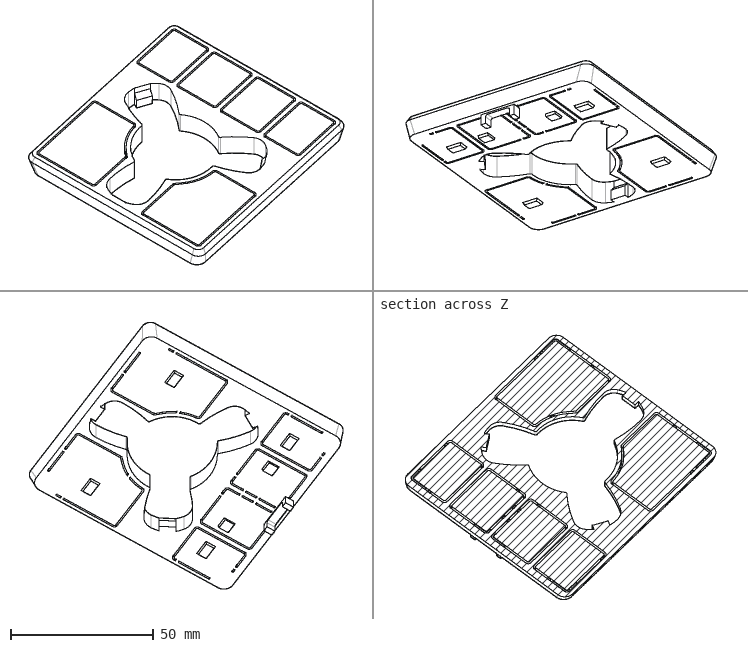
import cadquery as cq
import math

WIDTH = 78.78
LENGTH = 83.65
PLATE_HEIGHT = 8.4
CHAMFER_HEIGHT = 2.0
RIM_HEIGHT = PLATE_HEIGHT - CHAMFER_HEIGHT
TOP_INSET = 1.2
BOTTOM_SIDE_INSET = 1.4
BOTTOM_FRONT_INSET = 1.1
BOTTOM_RADIUS = 3.8
RIM_RADIUS = 3.3
TOP_RADIUS = 2.4

HUB_Y = -5.9
HUB_RADIUS = 15.9
ARM_COUNT = 3
NECK_HALF_WIDTH = 6.9
NECK_FILLET = 0.6
ARM_SIDE_MIDDLE = (8.0, -19.2)
ARM_SHOULDER = (8.6, -26.5)
ARM_CORNER_END = (5.8, -31.0)
ARM_END = 32.1

LEDGE_WIDTH = 6.0
LEDGE_DEPTH = 1.85
LEDGE_FRONT_HEIGHT = 3.9
LEDGE_BACK_HEIGHT = 5.8

SLOT_WIDTH = 0.6
KEY_RADIUS = 1.2
KEYS_HALF_SPAN = 36.7
KEYS_END_Y = 39.0
KEY_WALL = 1.7
BACK_KEY_LENGTH = 21.5
OUTER_KEY_WIDTH = 16.3
INNER_KEY_OUTER_X = KEYS_HALF_SPAN - OUTER_KEY_WIDTH - KEY_WALL
INNER_KEY_INNER_X = KEY_WALL / 2
BACK_KEY_FRONT_Y = KEYS_END_Y - BACK_KEY_LENGTH
FRONT_KEY_INNER_X = 10.4
FRONT_KEY_ARC_RADIUS = 17.5

BRIDGE_WIDTH = 1.2
BRIDGE_HEIGHT = 2.0
MID_SLOT = SLOT_WIDTH / 2
ARC_BRIDGE_ANGLE = math.radians(206)
ARC_BRIDGE_RADIUS = FRONT_KEY_ARC_RADIUS + MID_SLOT
LEFT_BRIDGE_CENTRES = [
    (MID_SLOT - KEYS_HALF_SPAN, 19.9),
    (-27.9, KEYS_END_Y - MID_SLOT),
    (-INNER_KEY_INNER_X - MID_SLOT, 29.4),
    (-INNER_KEY_INNER_X - MID_SLOT, 23.8),
    (-4.8, BACK_KEY_FRONT_Y + MID_SLOT),
    (MID_SLOT - KEYS_HALF_SPAN, -28.4),
    (-19.2, MID_SLOT - KEYS_END_Y),
    (
        ARC_BRIDGE_RADIUS * math.cos(ARC_BRIDGE_ANGLE),
        HUB_Y + ARC_BRIDGE_RADIUS * math.sin(ARC_BRIDGE_ANGLE),
    ),
]
LEFT_CORNER_BRIDGES = [
    ((-KEYS_HALF_SPAN, KEYS_END_Y), (7.0, -5.5)),
    ((-INNER_KEY_INNER_X, KEYS_END_Y), (-6.2, -2.5)),
    ((-KEYS_HALF_SPAN, -KEYS_END_Y), (7.1, 8.1)),
]

PAD_HEIGHT = 0.9
PAD_TAPER = 0.4
OUTER_PAD_SIZE = (6.0, 4.0)
INNER_PAD_SIZE = (4.0, 4.6)
OUTER_PAD_X = -27.0
INNER_PAD_X = -14.2
BACK_OUTER_PAD_Y = 25.9
BACK_INNER_PAD_Y = 26.2
FRONT_PAD_Y = -22.6

BRACKET_WIDTH = 14.0
BRACKET_DEPTH = 3.4
BRACKET_HEIGHT = 4.0
BRACKET_LEG = 2.0
BRACKET_WEB = 0.6
BRACKET_FILLET = 0.8
BRACKET_BACK_GAP = 1.3


def rounded_section(height, side_inset, front_inset, back_inset, radius):
    """Horizontal rounded-rectangle sketch, inset from the rim size."""
    length = LENGTH - front_inset - back_inset
    centre = cq.Vector(0, (front_inset - back_inset) / 2, height)
    sketch = cq.Sketch().rect(WIDTH - 2 * side_inset, length).vertices().fillet(radius)
    return sketch.moved(cq.Location(centre))


def plate():
    bottom = rounded_section(0, BOTTOM_SIDE_INSET, BOTTOM_FRONT_INSET, 0, BOTTOM_RADIUS)
    rim = rounded_section(RIM_HEIGHT, 0, 0, 0, RIM_RADIUS)
    top = rounded_section(PLATE_HEIGHT, TOP_INSET, TOP_INSET, TOP_INSET, TOP_RADIUS)
    skirt = cq.Workplane().placeSketch(bottom, rim).loft(ruled=True)
    chamfer = cq.Workplane().placeSketch(rim, top).loft(ruled=True)
    return skirt.union(chamfer)


def arm():
    """Arm of the opening, pointing to -Y from the hub axis."""
    neck_y = -math.sqrt(HUB_RADIUS**2 - NECK_HALF_WIDTH**2)
    half = (
        cq.Workplane()
        .lineTo(NECK_HALF_WIDTH, neck_y)
        .threePointArc(ARM_SIDE_MIDDLE, ARM_SHOULDER)
        .tangentArcPoint(ARM_CORNER_END, relative=False)
        .tangentArcPoint((LEDGE_WIDTH / 2, -ARM_END), relative=False)
        .lineTo(0, -ARM_END)
        .close()
        .extrude(PLATE_HEIGHT)
    )
    return half.union(half.mirror("YZ"))


def ledge():
    """Ledge on the end wall of the arm that points to -Y."""
    front = LEDGE_DEPTH - ARM_END
    back = -ARM_END
    profile = [(back, 0), (front, 0), (front, LEDGE_FRONT_HEIGHT), (back, LEDGE_BACK_HEIGHT)]
    return cq.Workplane("YZ").polyline(profile).close().extrude(LEDGE_WIDTH / 2, both=True)


def around_hub(shape):
    """Union of copies of a shape turned about the hub axis, moved to the hub position."""
    copies = shape
    for index in range(1, ARM_COUNT):
        copies = copies.union(shape.rotate((0, 0, 0), (0, 0, 1), index * 360 / ARM_COUNT))
    return copies.translate((0, HUB_Y, 0))


def opening():
    hub = cq.Workplane().center(0, HUB_Y).circle(HUB_RADIUS).extrude(PLATE_HEIGHT)
    neck_reach = HUB_RADIUS + NECK_FILLET
    neck_zone = cq.selectors.BoxSelector(
        (-neck_reach, HUB_Y - neck_reach, 0), (neck_reach, HUB_Y + neck_reach, PLATE_HEIGHT)
    )
    cutter = hub.union(around_hub(arm()))
    neck_edges = cutter.edges("|Z").edges(neck_zone)
    return neck_edges.fillet(NECK_FILLET).cut(around_hub(ledge()))


def back_key(outer_x, inner_x):
    return (
        cq.Workplane()
        .moveTo((outer_x + inner_x) / -2, KEYS_END_Y - BACK_KEY_LENGTH / 2)
        .rect(outer_x - inner_x, BACK_KEY_LENGTH)
        .extrude(PLATE_HEIGHT)
        .edges("|Z")
        .fillet(KEY_RADIUS)
    )


def front_key():
    """Left front key, hollowed along the hub and then running on at 45 degrees."""
    tangent_offset = FRONT_KEY_ARC_RADIUS * math.sqrt(0.5)
    middle_angle = math.radians(180 + 45 / 2)
    arc_middle = (
        FRONT_KEY_ARC_RADIUS * math.cos(middle_angle),
        HUB_Y + FRONT_KEY_ARC_RADIUS * math.sin(middle_angle),
    )
    slant_end_y = HUB_Y - 2 * tangent_offset + FRONT_KEY_INNER_X
    outline = (
        cq.Workplane()
        .moveTo(-KEYS_HALF_SPAN, -KEYS_END_Y)
        .lineTo(-KEYS_HALF_SPAN, HUB_Y)
        .lineTo(-FRONT_KEY_ARC_RADIUS, HUB_Y)
        .threePointArc(arc_middle, (-tangent_offset, HUB_Y - tangent_offset))
        .lineTo(-FRONT_KEY_INNER_X, slant_end_y)
        .lineTo(-FRONT_KEY_INNER_X, -KEYS_END_Y)
        .close()
        .extrude(PLATE_HEIGHT)
    )
    return outline.edges("|Z and (<X or >Y or <Y)").fillet(KEY_RADIUS)


def slot_around(key):
    """Through slot that runs just inside the outline of a key opening."""
    island = key.faces("<Z").wires().toPending().offset2D(-SLOT_WIDTH).extrude(PLATE_HEIGHT, combine=False)
    return key.cut(island)


def left_bridges():
    bridges = (
        cq.Workplane()
        .pushPoints(LEFT_BRIDGE_CENTRES)
        .rect(BRIDGE_WIDTH, BRIDGE_WIDTH)
        .extrude(BRIDGE_HEIGHT)
    )
    for corner, reach in LEFT_CORNER_BRIDGES:
        centre = (corner[0] + reach[0] / 2, corner[1] + reach[1] / 2)
        block = cq.Workplane().center(*centre).rect(abs(reach[0]), abs(reach[1])).extrude(BRIDGE_HEIGHT)
        bridges = bridges.union(block)
    return bridges


def key_slots():
    outer = slot_around(back_key(KEYS_HALF_SPAN, KEYS_HALF_SPAN - OUTER_KEY_WIDTH))
    inner = slot_around(back_key(INNER_KEY_OUTER_X, INNER_KEY_INNER_X))
    front = slot_around(front_key())
    left = outer.union(inner).union(front).cut(left_bridges())
    return left.union(left.mirror("YZ"))


def pad(x, y, size, side_taper):
    """Pad under a key, narrowing downwards along Y and, by side_taper, along X."""
    foot = (size[0] - 2 * side_taper, size[1] - 2 * PAD_TAPER)
    return (
        cq.Workplane()
        .center(x, y)
        .rect(*size)
        .workplane(offset=-PAD_HEIGHT)
        .rect(*foot)
        .loft(ruled=True)
    )


def pads():
    left = (
        pad(OUTER_PAD_X, BACK_OUTER_PAD_Y, OUTER_PAD_SIZE, PAD_TAPER)
        .union(pad(INNER_PAD_X, BACK_INNER_PAD_Y, INNER_PAD_SIZE, 0))
        .union(pad(OUTER_PAD_X, FRONT_PAD_Y, OUTER_PAD_SIZE, PAD_TAPER))
    )
    return left.union(left.mirror("YZ"))


def bracket():
    back_y = LENGTH / 2 - BRACKET_BACK_GAP
    gap_height = BRACKET_HEIGHT - BRACKET_WEB
    block = cq.Workplane().rect(BRACKET_WIDTH, BRACKET_DEPTH).extrude(BRACKET_HEIGHT)
    gap = (
        cq.Workplane()
        .rect(BRACKET_WIDTH - 2 * BRACKET_LEG, BRACKET_DEPTH)
        .extrude(gap_height)
        .edges("|Y and >Z")
        .fillet(BRACKET_FILLET)
    )
    return block.cut(gap).translate((0, back_y - BRACKET_DEPTH / 2, -BRACKET_HEIGHT))


result = plate().cut(opening()).cut(key_slots()).union(pads()).union(bracket())